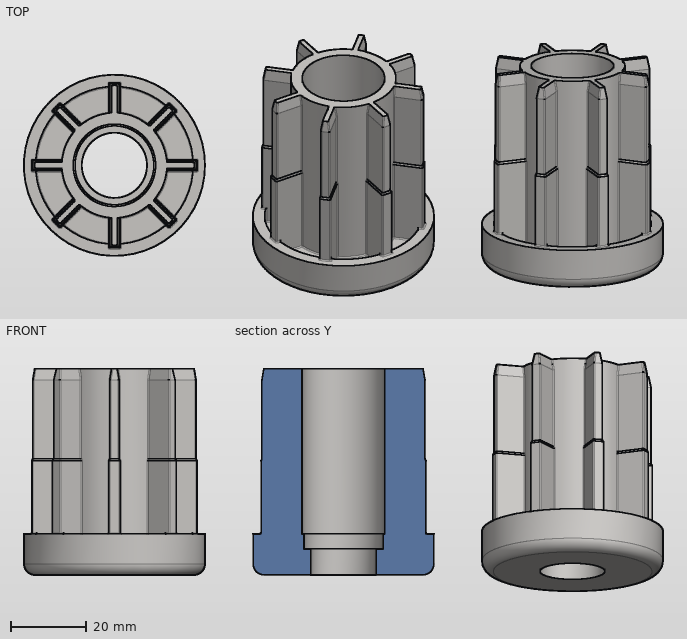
import cadquery as cq
import math

base_radius = 24.15
base_height = 11.0
base_edge_fillet = 3.0

total_height = 55.0
tube_radius = 14.0
bore_radius = 11.0
bore_ledge_width = 0.5
lower_bore_radius = bore_radius - bore_ledge_width
through_hole_radius = 8.65

pocket_radius = 21.0
pocket_depth = 4.0
pocket_floor = base_height - pocket_depth

bore_ledge = base_height
bore_floor = pocket_floor

rib_count = 8
rib_reach = 22.0
rib_width = 3.0
rib_step = 0.25
rib_tip_inset = 0.5
step_bottom = 30.4
step_top = 31.0
tip_length = 3.0
rib_corner_radius = 0.3

root_fillet = 0.3

tolerance = 0.01


def make_body():
    """Base and tube, before the bore and the ribs."""
    base = cq.Workplane("XY").circle(base_radius).extrude(base_height)
    base = base.faces("<Z").edges().fillet(base_edge_fillet)
    pocket = (
        cq.Workplane("XY")
        .workplane(offset=pocket_floor)
        .circle(pocket_radius)
        .extrude(pocket_depth)
    )
    tube = cq.Workplane("XY").circle(tube_radius).extrude(total_height)
    return base.cut(pocket).union(tube)


def rib_stage(bottom, top, bottom_inset, top_inset):
    """Part of a rib along +X whose outer end and sides are inset by the given amounts."""

    def section(height, inset):
        reach = rib_reach - inset
        center = cq.Workplane("XY", origin=(reach / 2, 0, height))
        return center.rect(reach, rib_width - 2 * inset).val()

    sections = [section(bottom, bottom_inset), section(top, top_inset)]
    return cq.Workplane(cq.Solid.makeLoft(sections, ruled=True))


def make_rib():
    """One full rib along +X, with its two outer corners rounded from bottom to top."""
    tip_bottom = total_height - tip_length
    rib = rib_stage(pocket_floor, step_bottom, 0, 0)
    rib = rib.union(rib_stage(step_bottom, step_top, 0, rib_step))
    rib = rib.union(rib_stage(step_top, tip_bottom, rib_step, rib_step))
    rib = rib.union(rib_stage(tip_bottom, total_height, rib_step, rib_step + rib_tip_inset))
    outer_corners = rib.edges("not(#Z)").filter(lambda edge: edge.Center().x > tube_radius)
    return outer_corners.fillet(rib_corner_radius)


def add_ribs(body):
    """Join equally spaced copies of the rib to the body."""
    rib = make_rib()
    for index in range(rib_count):
        angle = index * 360 / rib_count
        body = body.union(rib.rotate((0, 0, 0), (0, 0, 1), angle))
    return body


def is_root_edge(edge):
    """True for the inside corners where ribs, tube and base meet."""
    middle = edge.positionAt(0.5)
    radius = math.hypot(middle.x, middle.y)
    height = middle.z
    on_tube = abs(radius - tube_radius) < tolerance and height < total_height - tolerance
    on_floor = abs(height - pocket_floor) < tolerance and radius < pocket_radius + tolerance
    on_wall = abs(radius - pocket_radius) < tolerance and height < base_height - tolerance
    on_rim = (
        abs(height - base_height) < tolerance
        and pocket_radius + tolerance < radius < rib_reach + tolerance
    )
    return on_tube or on_floor or on_wall or on_rim


def fillet_roots(body):
    """Round every inside corner around the ribs, the tube and the pocket floor."""
    root_edges = [edge for edge in body.edges().vals() if is_root_edge(edge)]
    return body.newObject(root_edges).fillet(root_fillet)


def cut_bore(body):
    """Stepped bore, open at both ends."""
    steps = [
        (0, through_hole_radius),
        (bore_floor, lower_bore_radius),
        (bore_ledge, bore_radius),
    ]
    for bottom, radius in steps:
        cylinder = (
            cq.Workplane("XY", origin=(0, 0, bottom))
            .circle(radius)
            .extrude(total_height - bottom)
        )
        body = body.cut(cylinder)
    return body


result = cut_bore(fillet_roots(add_ribs(make_body())))